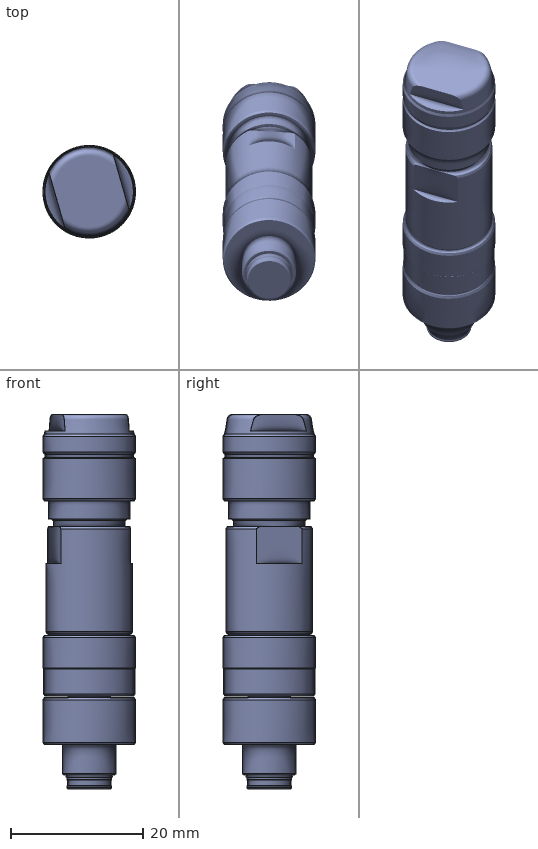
import cadquery as cq
import math


total_height = 56.65
nut_diameter = 14.0
nut_radius = nut_diameter / 2
edge_drop = 0.35
edge_inset = 0.2
flat_angle = 16.0

nut_bottom_z = 6.75
nut_top_z = 13.8
lower_ring_bottom_z = 14.05
ring_joint_z = 18.2
upper_ring_top_z = 23.25
body_top_z = 39.65
cap_bottom_z = 43.55

plug_radius = 4.1
plug_chamfer = 0.2
plug_shoulder_z = 2.15
plug_stem_radius = 3.25
tip_radius = 3.4
tip_lip_radius = 3.5
tip_lip_z = 1.85
tip_chamfer = 0.2
tip_groove_radius = 3.3
tip_groove_bottom_z = 0.45
tip_groove_top_z = 1.5

lower_ring_radius = 6.9
ring_joint_chamfer = 0.1

body_radius = 6.6
body_foot_radius = 6.2
body_foot_height = 0.2
body_flat_distance = 5.5
body_flat_bottom_z = 34.1

sleeve_radius = 6.2
sleeve_bottom_z = 40.85
neck_radius = 5.45
neck_top_z = 40.55
neck_shoulder_radius = 5.7

cap_groove_radius = 6.7
cap_groove_bottom_z = 50.0
cap_groove_lower_drop = 0.15
cap_groove_top_z = 50.95
cap_flange_top_z = 53.65
cap_cone_angle = 10.0
cap_fillet_radius = 0.95
cap_flat_distance = 5.05
cap_flat_bottom_z = 54.15


def turned(profile):
    """Revolve a closed outline of (radius, z) points about the Z axis."""
    return cq.Workplane("XZ").polyline(profile).close().revolve(360, (0, 0, 0), (0, 1, 0))


def cut_flats(body, distance, bottom_z, top_z):
    """Cut two opposite, parallel wrench flats down to bottom_z."""
    depth = 2 * nut_radius - distance
    for side in (-1, 1):
        block = (
            cq.Workplane("XY", origin=(0, 0, bottom_z))
            .center(side * (distance + depth / 2), 0)
            .rect(depth, 4 * nut_radius)
            .extrude(top_z - bottom_z)
            .rotate((0, 0, 0), (0, 0, 1), flat_angle)
        )
        body = body.cut(block)
    return body


def make_plug():
    """Plug below the nut, with its stem passing up through the nut to the rings."""
    return turned([
        (0, 0),
        (tip_radius - tip_chamfer, 0),
        (tip_radius, tip_chamfer),
        (tip_radius, tip_groove_bottom_z),
        (tip_groove_radius, tip_groove_bottom_z + tip_radius - tip_groove_radius),
        (tip_groove_radius, tip_groove_top_z - tip_radius + tip_groove_radius),
        (tip_radius, tip_groove_top_z),
        (tip_radius, tip_lip_z - tip_lip_radius + tip_radius),
        (tip_lip_radius, tip_lip_z),
        (tip_radius, plug_shoulder_z),
        (plug_radius - plug_chamfer, plug_shoulder_z),
        (plug_radius, plug_shoulder_z + plug_chamfer),
        (plug_radius, nut_bottom_z),
        (plug_stem_radius, nut_bottom_z),
        (plug_stem_radius, lower_ring_bottom_z),
        (0, lower_ring_bottom_z),
    ])


def make_nut():
    """Coupling nut around the plug stem, chamfered on both outer edges."""
    return turned([
        (plug_stem_radius, nut_bottom_z),
        (nut_radius - edge_inset, nut_bottom_z),
        (nut_radius, nut_bottom_z + edge_drop),
        (nut_radius, nut_top_z - edge_drop),
        (nut_radius - edge_inset, nut_top_z),
        (plug_stem_radius, nut_top_z),
    ])


def make_lower_ring():
    """Ring above the nut, chamfered on its lower edge."""
    return turned([
        (0, lower_ring_bottom_z),
        (lower_ring_radius - edge_inset, lower_ring_bottom_z),
        (lower_ring_radius, lower_ring_bottom_z + edge_drop),
        (lower_ring_radius, ring_joint_z),
        (0, ring_joint_z),
    ])


def make_upper_ring():
    """Ring under the body, with a fine chamfer at the joint and a larger one on top."""
    return turned([
        (0, ring_joint_z),
        (nut_radius - ring_joint_chamfer, ring_joint_z),
        (nut_radius, ring_joint_z + ring_joint_chamfer),
        (nut_radius, upper_ring_top_z - edge_drop),
        (nut_radius - edge_inset, upper_ring_top_z),
        (0, upper_ring_top_z),
    ])


def make_body():
    """Cylindrical body on a recessed foot, with two wrench flats at the top."""
    foot_top_z = upper_ring_top_z + body_foot_height
    body = turned([
        (0, upper_ring_top_z),
        (body_foot_radius, upper_ring_top_z),
        (body_foot_radius, foot_top_z),
        (body_radius - edge_inset, foot_top_z),
        (body_radius, foot_top_z + edge_drop),
        (body_radius, body_top_z - edge_drop),
        (body_radius - edge_inset, body_top_z),
        (0, body_top_z),
    ])
    return cut_flats(body, body_flat_distance, body_flat_bottom_z, body_top_z)


def make_sleeve():
    """Sleeve under the cap, narrowing to a neck that stands on the body."""
    return turned([
        (0, body_top_z),
        (neck_radius, body_top_z),
        (neck_radius, neck_top_z),
        (neck_shoulder_radius, sleeve_bottom_z),
        (sleeve_radius, sleeve_bottom_z),
        (sleeve_radius, cap_bottom_z),
        (0, cap_bottom_z),
    ])


def make_cap():
    """Grooved cap with a conical, rounded top and two wrench flats."""
    rim_radius = nut_radius - edge_inset
    cone_height = total_height - cap_flange_top_z
    cone_top_radius = rim_radius - cone_height * math.tan(math.radians(cap_cone_angle))
    cap = turned([
        (0, cap_bottom_z),
        (rim_radius, cap_bottom_z),
        (nut_radius, cap_bottom_z + edge_drop),
        (nut_radius, cap_groove_bottom_z),
        (cap_groove_radius, cap_groove_bottom_z + cap_groove_lower_drop),
        (cap_groove_radius, cap_groove_top_z - edge_drop),
        (nut_radius, cap_groove_top_z),
        (nut_radius, cap_flange_top_z - edge_drop),
        (rim_radius, cap_flange_top_z),
        (cone_top_radius, total_height),
        (0, total_height),
    ])
    cap = cap.faces(">Z").edges().fillet(cap_fillet_radius)
    return cut_flats(cap, cap_flat_distance, cap_flat_bottom_z, total_height)


plug = make_plug()
nut = make_nut()
lower_ring = make_lower_ring()
upper_ring = make_upper_ring()
body = make_body()
sleeve = make_sleeve()
cap = make_cap()

result = cq.Compound.makeCompound([
    plug.val(),
    nut.val(),
    lower_ring.val(),
    upper_ring.val(),
    body.val(),
    sleeve.val(),
    cap.val(),
])